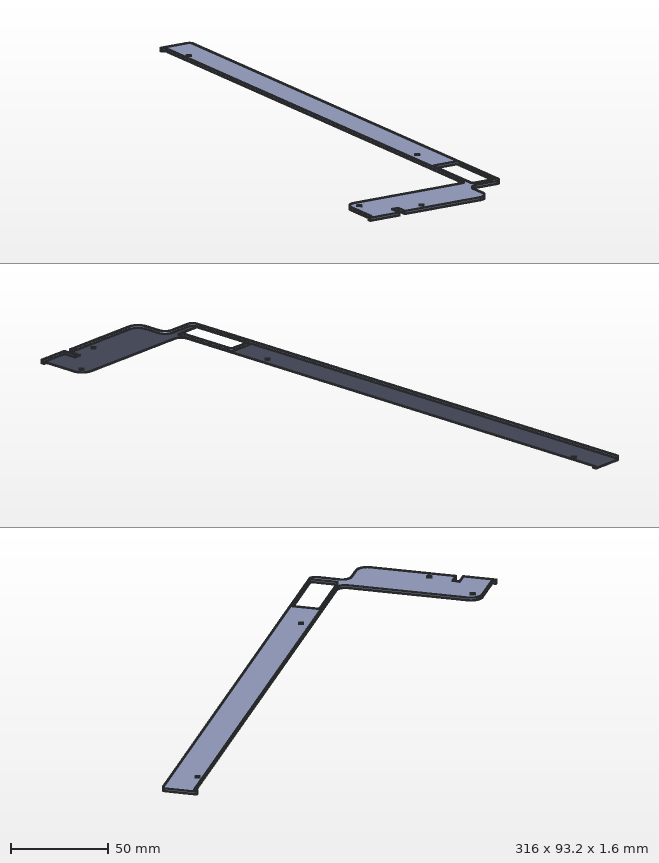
import cadquery as cq

length = 316.0
width = 93.2
thickness = 1.6

arm_bottom = width - 16.5
arm_corner_radius = 2.0

neck_right = 295.5
neck_corner_radius = 3.2
neck_fillet = 5.0

leg_left = 288.7
leg_right = length - 0.5
leg_top = width - 20.2
leg_bottom = 2.0
leg_corner_radius = 6.0
inner_fillet = 4.7

tab_width = 2.0
arm_tab_drop = 2.0

window_left = 254.3
window_right = 291.5
top_strip_width = 0.5
bottom_strip_width = 1.0
window_corner_radius = 1.3

notch_left = 308.5
notch_bottom = 17.7
notch_top = notch_bottom + 3.8

hole_diameter = 2.2
hole_centers = [
    (19.5, width - 13.5),
    (233.0, width - 11.5),
    (311.0, width - 58.8),
    (294.5, width - 86.2),
]


def box(left, right, bottom, top):
    """Plate-thick rectangular block between the given edges."""
    return (
        cq.Workplane("XY")
        .box(right - left, top - bottom, thickness, centered=False)
        .translate((left, bottom, 0))
    )


def round_corner(body, x, y, radius):
    """Round the vertical edge that stands at (x, y)."""
    return body.edges(cq.selectors.NearestToPointSelector((x, y, thickness / 2))).fillet(radius)


plate = box(0, neck_right, arm_bottom, width)
plate = plate.union(box(leg_left, neck_right, leg_bottom, width))
plate = plate.union(box(leg_left, leg_right, leg_bottom, leg_top)).clean()

outline_corners = [
    (0, width, arm_corner_radius),
    (neck_right, width, neck_corner_radius),
    (neck_right, leg_top, neck_fillet),
    (leg_right, leg_top, leg_corner_radius),
    (leg_left, leg_bottom, leg_corner_radius),
    (leg_left, arm_bottom, inner_fillet),
]
for corner_x, corner_y, corner_radius in outline_corners:
    plate = round_corner(plate, corner_x, corner_y, corner_radius)

plate = plate.union(box(0, tab_width, arm_bottom - arm_tab_drop, arm_bottom + tab_width))
plate = plate.union(box(length - tab_width, length, 0, notch_bottom))

window = box(window_left, window_right, arm_bottom + bottom_strip_width, width - top_strip_width)
plate = plate.cut(window.edges("|Z").fillet(window_corner_radius))
plate = plate.cut(box(notch_left, length, notch_bottom, notch_top))
holes = cq.Workplane("XY").pushPoints(hole_centers).circle(hole_diameter / 2).extrude(thickness)

result = plate.cut(holes)